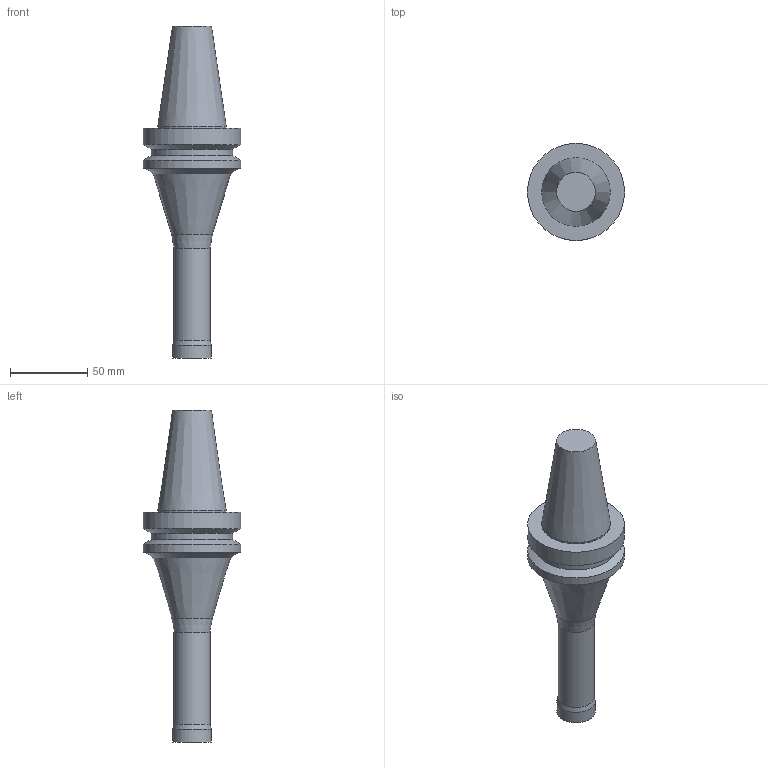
import cadquery as cq
import math

gauge_diameter = 44.45
flange_diameter = 63.0
groove_floor_diameter = 53.0
underside_diameter = 60.0
body_top_diameter = 50.3
body_bottom_diameter = 26.4
neck_diameter = 23.5
nose_diameter = 25.0

taper_ratio = 7.0 / 24.0
taper_length = 65.4
taper_small_diameter = gauge_diameter - taper_length * taper_ratio

flange_top = -1.0
flange_bottom = -27.0
body_top = -30.5
body_bottom = -69.8
neck_top = -78.8
neck_bottom = -138.5
nose_top = -141.75
nose_bottom = -150.0

groove_center = -16.6
groove_mouth_width = 10.0
groove_wall_angle = 30.0
groove_depth = (flange_diameter - groove_floor_diameter) / 2
groove_wall_height = groove_depth * math.tan(math.radians(groove_wall_angle))
groove_mouth_top = groove_center + groove_mouth_width / 2
groove_mouth_bottom = groove_center - groove_mouth_width / 2
groove_floor_top = groove_mouth_top - groove_wall_height
groove_floor_bottom = groove_mouth_bottom + groove_wall_height


def at(diameter, z):
    """Profile point at a given diameter and height."""
    return (diameter / 2, z)


profile = (
    cq.Workplane("XZ")
    .moveTo(*at(0, taper_length))
    .lineTo(*at(taper_small_diameter, taper_length))
    .lineTo(*at(gauge_diameter, 0))
    .lineTo(*at(gauge_diameter, flange_top))
    .lineTo(*at(flange_diameter, flange_top))
    .lineTo(*at(flange_diameter, groove_mouth_top))
    .lineTo(*at(groove_floor_diameter, groove_floor_top))
    .lineTo(*at(groove_floor_diameter, groove_floor_bottom))
    .lineTo(*at(flange_diameter, groove_mouth_bottom))
    .lineTo(*at(flange_diameter, flange_bottom))
    .lineTo(*at(underside_diameter, flange_bottom))
    .lineTo(*at(body_top_diameter, body_top))
    .lineTo(*at(body_bottom_diameter, body_bottom))
    .lineTo(*at(neck_diameter, neck_top))
    .lineTo(*at(neck_diameter, neck_bottom))
    .lineTo(*at(nose_diameter, nose_top))
    .lineTo(*at(nose_diameter, nose_bottom))
    .lineTo(*at(0, nose_bottom))
    .close()
)

result = profile.revolve(360, (0, 0, 0), (0, 1, 0))